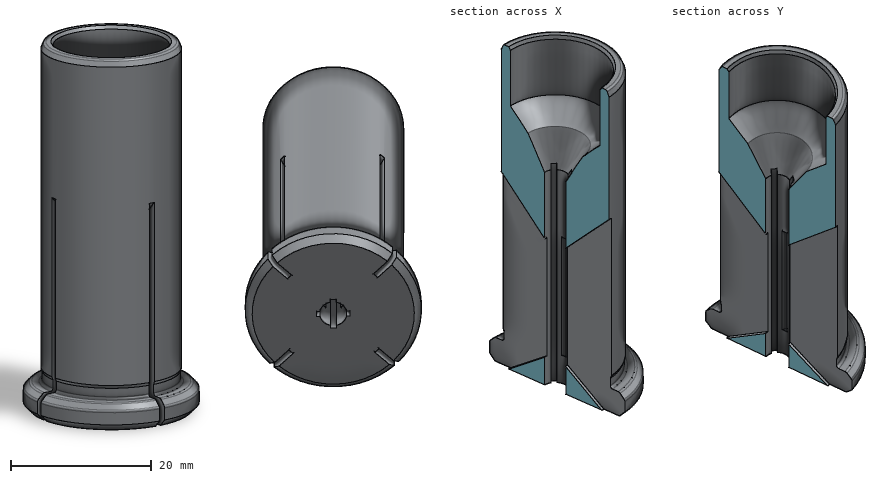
import cadquery as cq
import math

height = 54.0
tube_radius = 10.0

flange_radius = 12.5
flange_height = 4.0
flange_chamfer = 1.0
flange_edge_fillet = 0.5

rim_chamfer_width = 0.45
rim_chamfer_height = 1.0
rim_edge_fillet = 0.4

groove_radius = 9.85
groove_top = 6.1
groove_taper_height = 0.45
groove_fillet = 0.4

bore_radius = 16.5 / 2
bore_chamfer_width = 0.3
bore_chamfer_height = 0.5
bore_floor = 44.2
funnel_step_radius = 10.0 / 2
upper_funnel_half_angle = math.radians(45)
lower_funnel_half_angle = math.radians(30)

centre_hole_radius = 1.93
keyway_width = 0.85
keyway_tip_radius = 2.35
keyway_angles = (45, 135)

slit_width = 0.85
slit_top = 32.5
slit_top_ramp_angle = math.radians(45)
slit_foot_inner_z = 4.7
slit_foot_ramp_angle = math.radians(55)
slit_angles = (0, 90, 180, 270)

sleeve_axis = ((0, 0, 0), (0, 0, 1))


def revolve_profile(profile):
    """Turn a closed radius-height profile about the sleeve axis."""
    return profile.close().revolve(360, (0, 0, 0), (0, 1, 0))


def ring_edge(radius, z):
    """Selector box around the circular edges at this radius and height."""
    margin = 0.01
    reach = radius + margin
    return cq.selectors.BoxSelector(
        (-reach, -reach, z - margin), (reach, reach, z + margin), boundingbox=True
    )


def make_outer_body():
    flange = revolve_profile(
        cq.Workplane("XZ")
        .lineTo(flange_radius - flange_chamfer, 0)
        .lineTo(flange_radius, flange_chamfer)
        .lineTo(flange_radius, flange_height - flange_chamfer)
        .lineTo(flange_radius - flange_chamfer, flange_height)
        .lineTo(0, flange_height)
    )
    flange = flange.edges(ring_edge(flange_radius, flange_height - flange_chamfer)).fillet(flange_edge_fillet)
    flange = flange.edges(ring_edge(flange_radius, flange_height)).fillet(flange_edge_fillet)

    tube = revolve_profile(
        cq.Workplane("XZ")
        .lineTo(groove_radius, 0)
        .lineTo(groove_radius, groove_top - groove_taper_height)
        .lineTo(tube_radius, groove_top)
        .lineTo(tube_radius, height - rim_chamfer_height)
        .lineTo(tube_radius - rim_chamfer_width, height)
        .lineTo(0, height)
    )
    tube = tube.edges(ring_edge(tube_radius, height)).fillet(rim_edge_fillet)

    body = flange.union(tube)
    return body.edges(ring_edge(groove_radius, flange_height)).fillet(groove_fillet)


def make_bore():
    step_z = bore_floor - (bore_radius - funnel_step_radius) / math.tan(upper_funnel_half_angle)
    tip_z = step_z - funnel_step_radius / math.tan(lower_funnel_half_angle)
    return revolve_profile(
        cq.Workplane("XZ")
        .moveTo(0, tip_z)
        .lineTo(funnel_step_radius, step_z)
        .lineTo(bore_radius, bore_floor)
        .lineTo(bore_radius, height - bore_chamfer_height)
        .lineTo(bore_radius + bore_chamfer_width, height)
        .lineTo(0, height)
    )


def make_centre_hole():
    hole = cq.Workplane("XY").circle(centre_hole_radius).extrude(bore_floor)
    keyway = cq.Workplane("XY").rect(2 * keyway_tip_radius, keyway_width).extrude(bore_floor)
    for angle in keyway_angles:
        hole = hole.union(keyway.rotate(*sleeve_axis, angle))
    return hole


def make_slit():
    """Slit on the +X side, from the centre outward through tube and flange."""
    top_inner_z = slit_top - (tube_radius - centre_hole_radius) / math.tan(slit_top_ramp_angle)
    foot_radius = centre_hole_radius + slit_foot_inner_z * math.tan(slit_foot_ramp_angle)
    return (
        cq.Workplane("XZ")
        .moveTo(0, slit_foot_inner_z)
        .lineTo(centre_hole_radius, slit_foot_inner_z)
        .lineTo(foot_radius, 0)
        .lineTo(flange_radius, 0)
        .lineTo(flange_radius, slit_top)
        .lineTo(tube_radius, slit_top)
        .lineTo(centre_hole_radius, top_inner_z)
        .lineTo(0, top_inner_z)
        .close()
        .extrude(slit_width / 2, both=True)
    )


result = make_outer_body().cut(make_bore()).cut(make_centre_hole())
for angle in slit_angles:
    result = result.cut(make_slit().rotate(*sleeve_axis, angle))